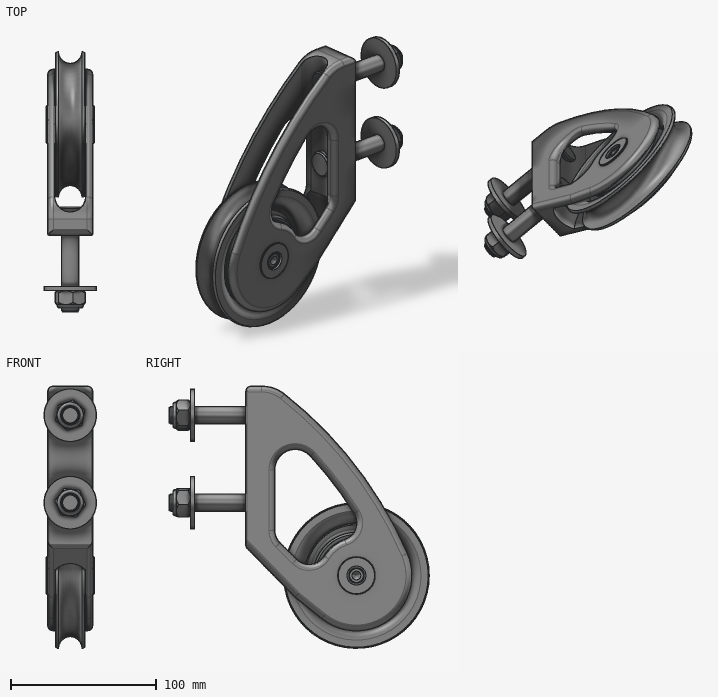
import cadquery as cq
import math

wheel_dia = 100.0
wheel_width = 20.0
groove_radius = 8.0
lip_drop = 0.8
dish_radius = 44.3
dish_depth = 9.5
dish_round = 9.5
valley_radius = 35.7
valley_depth = 1.0
web_radius = 34.8
hub_fillet = 2.1
hub_shoulder_radius = 29.7
hub_face_radius = 28.2
hub_wall_height = 3.9
hub_chamfer_height = 2.0
hub_ring_radius = 25.5
hub_ring_height = 0.4
bracket_width = 31.0
mount_y = -76.0
top_z = 130.0
edge_radius = 4.0
mount_edge_radius = 1.0
hub_radius = 38.0

shoulder_radius = 25.0
shoulder_y = -65.0
shoulder_z = top_z - shoulder_radius
flank_radius = 280.0
lower_corner_z = 19.6
kink = (-42.0, -15.0)
tail_length = 10.0

flank_wall = 19.0
window_top_radius = 14.0
window_top = (-42.0, 72.5)
lobe_radius = 12.0
window_hub_radius = 26.0
window_back_y = window_top[0] - window_top_radius
lobe_front_angle = math.radians(108)
lobe_lower_angle = math.radians(149)

slot_width = 21.0
slot_end_y = -60.0
clearance_crown_radius = 65.3
clearance_edge_radius = 60.0

cap_dia = 25.8
cap_rim_dia = 25.0
cap_span = 33.0
cap_hole_dia = 13.0
cap_hole_depth = 2.0
axle_end_dia = 10.5
axle_end_tip_dia = 9.5
axle_end_height = 1.0
axle_end_chamfer = 0.5
socket_dia = 6.0
socket_depth = 2.5

bolt_dia = 12.0
bolt_tip_dia = 10.5
bolt_positions = (110.0, 50.0)
nut_turns = (19.0, -7.5)
bolt_end_y = -128.5
bolt_tip_length = 1.2
head_dia = 18.0
head_front_y = -56.5
head_chamfer = 1.0
washer_dia = 36.0
washer_front_y = -111.0
washer_thickness = 3.0
nut_flats = 18.5
nut_face_dia = 18.5
nut_chamfer_height = 1.6
nut_hex_height = 9.6
nut_height = 12.0
nut_collar_dia = 18.0
nut_collar_round = 1.8
nut_bore_dia = 13.2
nut_recess_depth = 0.6


def along(origin, point, distance):
    """Point at a distance from origin, in the direction of another point."""
    dy = point[0] - origin[0]
    dz = point[1] - origin[1]
    scale = distance / math.hypot(dy, dz)
    return (origin[0] + dy * scale, origin[1] + dz * scale)


def polar(center, radius, angle):
    """Point of a circle at an angle."""
    return (center[0] + radius * math.cos(angle), center[1] + radius * math.sin(angle))


def arc_middle(center, radius, start, end):
    """Middle of the short arc between two points of a circle."""
    chord_middle = ((start[0] + end[0]) / 2, (start[1] + end[1]) / 2)
    return along(center, chord_middle, radius)


def enclosing_center(first, first_radius, second, second_radius, radius):
    """Center of the arc that encloses two circles and touches both, lying to the -Y side."""
    dy = second[0] - first[0]
    dz = second[1] - first[1]
    spacing = math.hypot(dy, dz)
    reach_first = radius - first_radius
    reach_second = radius - second_radius
    run = (reach_first**2 - reach_second**2 + spacing**2) / (2 * spacing)
    rise = math.sqrt(reach_first**2 - run**2)
    return (
        first[0] + (run * dy - rise * dz) / spacing,
        first[1] + (run * dz + rise * dy) / spacing,
    )


def revolve_about_x(points):
    """Solid of revolution about the wheel axis from (x, radius) points."""
    return cq.Workplane("XY").polyline(points).close().revolve(360, (0, 0, 0), (1, 0, 0))


def disc_y(diameter, front_y, length, z):
    """Cylinder along -Y, starting at front_y."""
    return (
        cq.Workplane("XZ", origin=(0, front_y, z)).circle(diameter / 2).extrude(length)
    )


def bracket_outline(back_y):
    """Side outline of the bracket, running back to back_y."""
    axis = (0.0, 0.0)
    shoulder = (shoulder_y, shoulder_z)
    flank = enclosing_center(axis, hub_radius, shoulder, shoulder_radius, flank_radius)
    flank_top = along(flank, shoulder, flank_radius)
    flank_bottom = along(flank, axis, flank_radius)
    shoulder_top = (shoulder_y, top_z)
    slope = (lower_corner_z - kink[1]) / (mount_y - kink[0])
    back_bottom = (back_y, kink[1] + slope * (back_y - kink[0]))
    kink_angle = math.atan2(kink[1], kink[0]) % (2 * math.pi)
    kink_reach = math.hypot(*kink)
    tangent_angle = kink_angle + math.acos(hub_radius / kink_reach)
    hub_end = polar(axis, hub_radius, tangent_angle)
    hub_start_angle = math.atan2(flank_bottom[1], flank_bottom[0])
    hub_middle_angle = (tangent_angle - 2 * math.pi + hub_start_angle) / 2
    return (
        cq.Workplane("YZ")
        .moveTo(back_y, top_z)
        .lineTo(*shoulder_top)
        .threePointArc(arc_middle(shoulder, shoulder_radius, shoulder_top, flank_top), flank_top)
        .threePointArc(arc_middle(flank, flank_radius, flank_top, flank_bottom), flank_bottom)
        .threePointArc(polar(axis, hub_radius, hub_middle_angle), hub_end)
        .lineTo(*kink)
        .lineTo(*back_bottom)
        .close()
    )


def window():
    """Prism of the rounded opening between the hub and the mounting side."""
    axis = (0.0, 0.0)
    lobe_reach = window_hub_radius + lobe_radius
    front = polar(axis, lobe_reach, lobe_front_angle)
    lower = polar(axis, lobe_reach, lobe_lower_angle)
    back_lobe_y = window_back_y + lobe_radius
    back = (back_lobe_y, lower[1] + lower[0] - back_lobe_y)
    flank_arc = flank_radius - flank_wall
    flank = enclosing_center(front, lobe_radius, window_top, window_top_radius, flank_arc)
    top_start = (window_back_y, window_top[1])
    flank_top = along(flank, window_top, flank_arc)
    flank_bottom = along(flank, front, flank_arc)
    hub_start = along(axis, front, window_hub_radius)
    hub_end = along(axis, lower, window_hub_radius)
    slope_angle = math.radians(225)
    lower_end = polar(lower, lobe_radius, slope_angle)
    back_start = polar(back, lobe_radius, slope_angle)
    back_end = (window_back_y, back[1])
    return (
        cq.Workplane("YZ")
        .moveTo(*top_start)
        .threePointArc(polar(window_top, window_top_radius, math.radians(110)), flank_top)
        .threePointArc(arc_middle(flank, flank_arc, flank_top, flank_bottom), flank_bottom)
        .threePointArc(polar(front, lobe_radius, 0), hub_start)
        .threePointArc(arc_middle(axis, window_hub_radius, hub_start, hub_end), hub_end)
        .threePointArc(arc_middle(lower, lobe_radius, hub_end, lower_end), lower_end)
        .lineTo(*back_start)
        .threePointArc(arc_middle(back, lobe_radius, back_start, back_end), back_end)
        .close()
        .extrude(bracket_width / 2, both=True)
    )


def wheel_slot():
    """Upright round-ended slot, widened around the wheel at its crown."""
    half_width = slot_width / 2
    upright = (
        cq.Workplane("XY")
        .moveTo(-half_width, wheel_dia)
        .lineTo(-half_width, slot_end_y + half_width)
        .threePointArc((0, slot_end_y), (half_width, slot_end_y + half_width))
        .lineTo(half_width, wheel_dia)
        .close()
        .extrude(top_z + wheel_dia)
        .translate((0, 0, -wheel_dia))
    )
    clearance = (
        cq.Workplane("XY")
        .moveTo(-half_width, 0)
        .lineTo(-half_width, clearance_edge_radius)
        .threePointArc((0, clearance_crown_radius), (half_width, clearance_edge_radius))
        .lineTo(half_width, 0)
        .close()
        .revolve(360, (0, 0, 0), (1, 0, 0))
    )
    return upright.union(clearance)


def bracket():
    """Bracket with rounded edges, window, wheel slot and axle bore."""
    half_width = bracket_width / 2
    body = (
        bracket_outline(mount_y - tail_length)
        .extrude(half_width, both=True)
        .cut(window())
        .faces("<X or >X")
        .edges()
        .fillet(edge_radius)
    )
    side_profile = (
        bracket_outline(mount_y)
        .extrude(half_width, both=True)
        .faces("<Y")
        .edges("|X")
        .fillet(edge_radius)
    )
    plan_length = hub_radius - mount_y
    plan_profile = (
        cq.Workplane("XY")
        .box(bracket_width, plan_length, 2 * top_z)
        .translate((0, mount_y + plan_length / 2, 0))
        .edges("|Z and <Y")
        .fillet(mount_edge_radius)
    )
    cap_bore = cq.Workplane("YZ").circle(cap_dia / 2).extrude(half_width, both=True)
    solid = body.intersect(side_profile).intersect(plan_profile)
    return solid.cut(wheel_slot()).cut(cap_bore)


def wheel():
    """Grooved wheel with dished sides and a raised hub."""
    half_width = wheel_width / 2
    rim_radius = wheel_dia / 2
    lip_width = half_width - groove_radius
    lip_round = (lip_width**2 + lip_drop**2) / (2 * lip_drop)
    valley_x = half_width - dish_depth
    web_x = valley_x + valley_depth
    shoulder_x = web_x + hub_wall_height
    face_x = shoulder_x + hub_chamfer_height
    half_profile = (
        cq.Workplane("XY")
        .moveTo(0, rim_radius)
        .lineTo(groove_radius, rim_radius)
        .radiusArc((half_width, rim_radius - lip_drop), lip_round)
        .lineTo(half_width, dish_radius)
        .radiusArc((valley_x, valley_radius), dish_round)
        .lineTo(web_x, web_radius)
        .lineTo(web_x, hub_shoulder_radius + hub_fillet)
        .radiusArc((web_x + hub_fillet, hub_shoulder_radius), -hub_fillet)
        .lineTo(shoulder_x, hub_shoulder_radius)
        .lineTo(face_x, hub_face_radius)
        .lineTo(face_x, hub_ring_radius)
        .lineTo(face_x + hub_ring_height, hub_ring_radius)
        .lineTo(face_x + hub_ring_height, 0)
        .lineTo(0, 0)
    )
    blank = half_profile.mirrorY().revolve(360, (0, 0, 0), (1, 0, 0))
    groove = (
        cq.Workplane("XY")
        .center(0, rim_radius)
        .circle(groove_radius)
        .revolve(360, (0, -rim_radius, 0), (1, -rim_radius, 0))
    )
    return blank.cut(groove)


def axle():
    """Axle with round caps, their end recesses and sockets."""
    half_span = cap_span / 2
    rim_step = (cap_dia - cap_rim_dia) / 2
    floor_x = half_span - cap_hole_depth
    tip_x = floor_x + axle_end_height
    half_profile = [
        (0, cap_dia / 2),
        (half_span - rim_step, cap_dia / 2),
        (half_span, cap_rim_dia / 2),
        (half_span, cap_hole_dia / 2),
        (floor_x, cap_hole_dia / 2),
        (floor_x, axle_end_dia / 2),
        (tip_x - axle_end_chamfer, axle_end_dia / 2),
        (tip_x, axle_end_tip_dia / 2),
        (tip_x, socket_dia / 2),
        (tip_x - socket_depth, 0),
        (0, 0),
    ]
    end = revolve_about_x(half_profile)
    return end.union(end.mirror("YZ"))


def nut(z, turn):
    """Lock nut with rounded-off hexagon corners and a round collar."""
    front_y = washer_front_y - washer_thickness
    corner_dia = nut_flats / math.cos(math.radians(30))
    corner_step = (corner_dia - nut_face_dia) / 2
    seat = cq.Workplane("XZ", origin=(0, front_y, z)).transformed(rotate=(0, 0, turn))
    hexagon = seat.polygon(6, corner_dia).extrude(nut_hex_height)
    rounding = disc_y(corner_dia, front_y, nut_hex_height, z)
    rounding = rounding.faces("<Y or >Y").edges().chamfer(nut_chamfer_height, corner_step)
    collar = disc_y(nut_collar_dia, front_y, nut_height, z)
    collar = collar.faces("<Y").edges().fillet(nut_collar_round)
    recess = disc_y(nut_bore_dia, front_y - nut_height + nut_recess_depth, nut_recess_depth, z)
    return hexagon.intersect(rounding).union(collar).cut(recess)


def bolt(z, turn):
    """Mounting bolt with its head in the slot, washer and lock nut."""
    head = disc_y(head_dia, head_front_y, head_front_y - mount_y - edge_radius, z)
    head = head.faces(">Y").edges().chamfer(head_chamfer)
    shank = disc_y(bolt_dia, head_front_y - head_chamfer, head_front_y - head_chamfer - bolt_end_y, z)
    tip_step = (bolt_dia - bolt_tip_dia) / 2
    shank = shank.faces("<Y").edges().chamfer(bolt_tip_length, tip_step)
    washer = disc_y(washer_dia, washer_front_y, washer_thickness, z)
    return head.union(nut(z, turn)).union(washer).union(shank)


result = bracket().union(wheel()).union(axle())
for bolt_z, nut_turn in zip(bolt_positions, nut_turns):
    result = result.union(bolt(bolt_z, nut_turn))